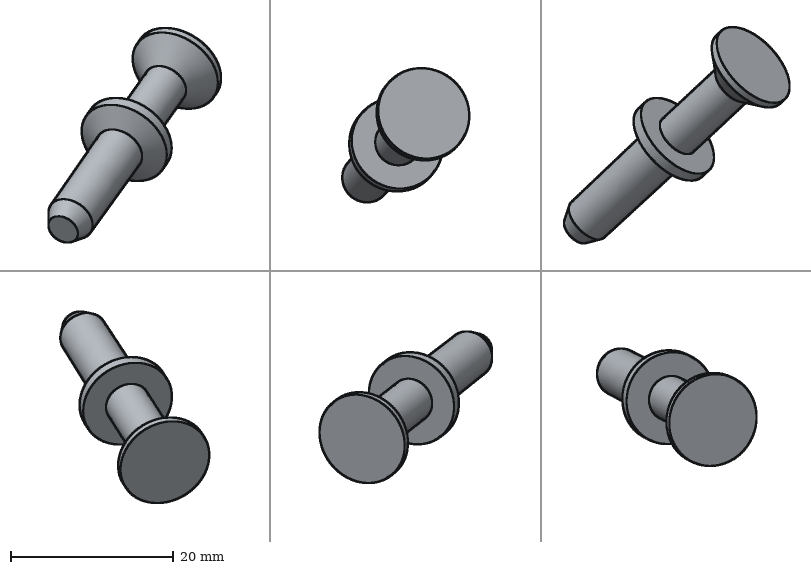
import cadquery as cq

total_length = 35.0
head_rim = 1.0
head_depth = 4.0
collar_start = 14.98
collar_rim = 1.5
collar_depth = 3.0
tip_length = 2.25

flange_diameter = 11.5
neck_diameter = 5.6
pin_base_diameter = 6.2
pin_end_diameter = 6.0
tip_diameter = 4.0

flange_radius = flange_diameter / 2
neck_radius = neck_diameter / 2
pin_base_radius = pin_base_diameter / 2
pin_end_radius = pin_end_diameter / 2
tip_radius = tip_diameter / 2
collar_back = total_length - collar_start

result = (
    cq.Workplane("XY")
    .moveTo(0, total_length)
    .lineTo(flange_radius, total_length)
    .lineTo(flange_radius, total_length - head_rim)
    .lineTo(neck_radius, total_length - head_depth)
    .lineTo(neck_radius, collar_back)
    .lineTo(flange_radius, collar_back)
    .lineTo(flange_radius, collar_back - collar_rim)
    .lineTo(pin_base_radius, collar_back - collar_depth)
    .lineTo(pin_end_radius, tip_length)
    .lineTo(tip_radius, 0)
    .lineTo(0, 0)
    .close()
    .revolve(360, (0, 0, 0), (0, 1, 0))
)